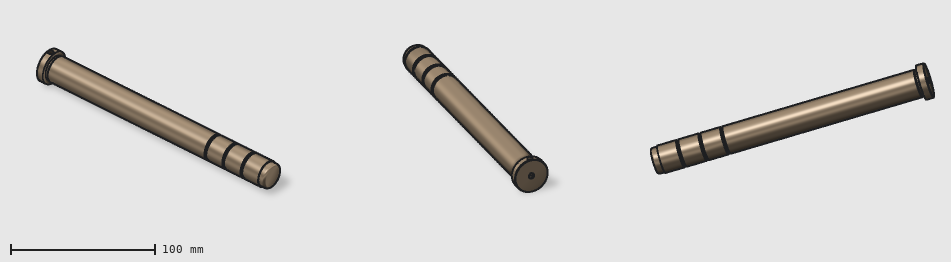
import cadquery as cq

length = 200.0
shaft_radius = 10.0

head_radius = 12.5
head_length = 5.5
head_chamfer = 0.5
relief_end = 8.0
relief_depth = 0.5

groove_starts = (147.2, 163.0, 179.2)
groove_width = 1.8
groove_depth = 0.5

tip_start = 194.8
tip_radius = 9.5
tip_rounding = 1.8

hole_radius = 2.0
drill_point_depth = 1.2
radial_hole_x = head_length / 2


def ring_groove(start, width, depth):
    """Ring of material to remove, with a flat floor and a sloped far wall."""
    floor_radius = shaft_radius - depth
    return (
        cq.Workplane("XY")
        .moveTo(start, shaft_radius)
        .lineTo(start, floor_radius)
        .lineTo(start + width - depth, floor_radius)
        .lineTo(start + width, shaft_radius)
        .close()
        .revolve(360, (0, 0, 0), (1, 0, 0))
    )


def cylinder(start, end, radius):
    """Solid cylinder on the pin axis between two X positions."""
    return cq.Workplane("YZ", origin=(start, 0, 0)).circle(radius).extrude(end - start)


head = cylinder(0, head_length, head_radius).faces("<X").edges().chamfer(head_chamfer)
shaft = cylinder(0, tip_start, shaft_radius)
tip = cylinder(0, length, tip_radius).faces(">X").edges().fillet(tip_rounding)
result = head.union(shaft).union(tip)

result = result.cut(ring_groove(head_length, relief_end - head_length, relief_depth))
for groove_start in groove_starts:
    result = result.cut(ring_groove(groove_start, groove_width, groove_depth))

axial_hole = cylinder(0, radial_hole_x, hole_radius)
radial_hole = (
    cq.Workplane("XZ")
    .moveTo(0, -hole_radius - drill_point_depth)
    .lineTo(hole_radius, -hole_radius)
    .lineTo(hole_radius, head_radius)
    .lineTo(0, head_radius)
    .close()
    .revolve(360, (0, 0, 0), (0, 1, 0))
    .translate((radial_hole_x, 0, 0))
)
result = result.cut(axial_hole).cut(radial_hole)